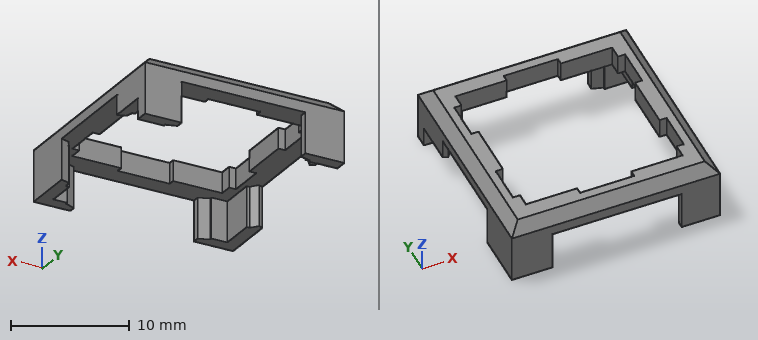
import cadquery as cq

side = 19.2
height = 5.8
rim_thickness = 1.95
bevel = 0.98
half = side / 2
rim_bottom = height - rim_thickness

window_x = 14.44
window_y = 14.4
recessed_x = 15.75
recessed_y = 15.6
end_recess_width = 5
side_recess_width = 3.5
side_recess_offset = 4.25

wall = 1.23
pad_length_x = 1.0
pad_length_y = 0.67
pad_step_x = 0.2
pad_step_y = 0.27
notch_height = 1.95

leg_length_x = {-1: 3.76, 1: 3.53}
leg_length_y = {-1: 5.07, 1: 4.84}
end_slant_y = {-1: 0.17, 1: -0.23}
pad_end_wall_x = {-1: 0.63, 1: 0.75}
pad_end_wall_y = {-1: 0.42, 1: 0.8}


def make_rim():
    """Bevelled square plate with the stepped window cut through it."""
    rim = (
        cq.Workplane("XY", origin=(0, 0, rim_bottom))
        .rect(side, side)
        .extrude(rim_thickness)
        .faces(">Z")
        .chamfer(bevel)
    )
    window = cq.Workplane("XY").rect(window_x, window_y).extrude(height)
    end_recesses = cq.Workplane("XY").rect(end_recess_width, recessed_y).extrude(height)
    side_recesses = (
        cq.Workplane("XY")
        .pushPoints([(0, -side_recess_offset), (0, side_recess_offset)])
        .rect(recessed_x, side_recess_width)
        .extrude(height)
    )
    return rim.cut(window).cut(end_recesses).cut(side_recesses)


def make_leg(x_sign, y_sign):
    """L-shaped corner leg whose two arms end in stepped, tapered ends."""
    inner = half - wall
    end_x = half - leg_length_x[x_sign]
    end_y = half - leg_length_y[x_sign]
    inner_end_y = end_y - end_slant_y[x_sign]
    outline = [
        (half, half),
        (end_x, half),
        (end_x, half - pad_end_wall_x[y_sign]),
        (end_x + pad_length_x, inner + pad_step_x),
        (end_x + pad_length_x, inner),
        (inner, inner),
        (inner, inner_end_y + pad_length_y),
        (inner + pad_step_y, inner_end_y + pad_length_y),
        (half - pad_end_wall_y[x_sign], inner_end_y),
        (half, end_y),
    ]
    points = [(x_sign * x, y_sign * y) for x, y in outline]
    return cq.Workplane("XY").polyline(points).close().extrude(rim_bottom)


def make_notches():
    """Clearance under the side walls inside the +Y end wall."""
    notch_end = half - wall
    return cq.Workplane("XY").center(0, notch_end / 2).rect(side, notch_end).extrude(notch_height)


result = make_rim()
for x_sign in (-1, 1):
    for y_sign in (-1, 1):
        result = result.union(make_leg(x_sign, y_sign))
result = result.cut(make_notches())